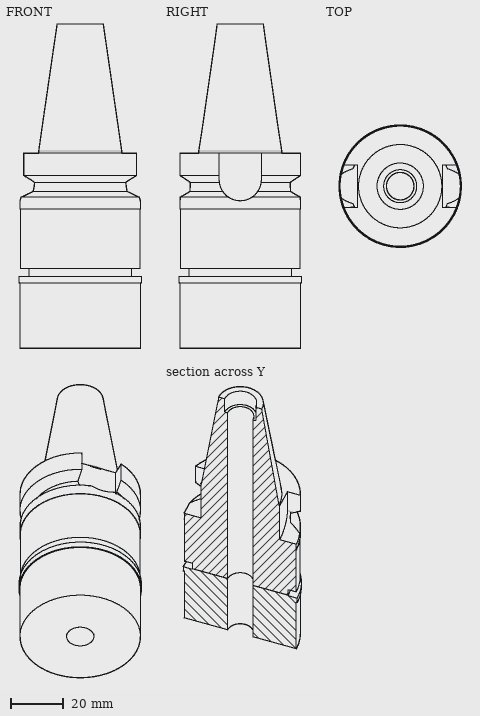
import cadquery as cq

total_height = 123.4

nut_height = 27.4
nut_collar_bottom = 24.9
nut_radius = 23.0
nut_collar_radius = 23.3

groove_top = 30.4
groove_radius = 39.1 / 2
body_top = 53.1
body_radius = 22.8
flange_radius = 23.0
lower_flange_top = 57.5
neck_bottom = 59.7
neck_top = 63.2
neck_radius = 19.1
upper_flange_bottom = 65.8
upper_flange_top = 74.3

taper_bottom = 75.0
taper_large_radius = 31.7 / 2
taper_small_radius = 17.6 / 2

through_radius = 5.2
counterbore_radius = 6.3
counterbore_depth = 7.2

slot_width = 16.0
slot_bottom = 56.1
slot_flat_distance = 16.2


def revolve_profile(points):
    """Turn a closed (radius, height) outline about the Z axis."""
    return cq.Workplane("XZ").polyline(points).close().revolve(360, (0, 0, 0), (0, 1, 0))


def make_drive_slot(side):
    """Cutter for a slot open at the top with a full-round bottom; side is +1 or -1 along X."""
    half_width = slot_width / 2
    arc_center = slot_bottom + half_width
    cut_depth = nut_collar_radius - slot_flat_distance
    return (
        cq.Workplane("YZ", origin=(side * slot_flat_distance, 0, 0))
        .moveTo(-half_width, upper_flange_top)
        .lineTo(-half_width, arc_center)
        .threePointArc((0, slot_bottom), (half_width, arc_center))
        .lineTo(half_width, upper_flange_top)
        .close()
        .extrude(side * cut_depth)
    )


def make_holder():
    """Shank, V-grooved flange and body, with a stepped bore and two drive slots."""
    counterbore_floor = total_height - counterbore_depth
    holder = revolve_profile([
        (through_radius, nut_height),
        (groove_radius, nut_height),
        (groove_radius, groove_top),
        (body_radius, groove_top),
        (body_radius, body_top),
        (flange_radius, body_top),
        (flange_radius, lower_flange_top),
        (neck_radius, neck_bottom),
        (neck_radius, neck_top),
        (flange_radius, upper_flange_bottom),
        (flange_radius, upper_flange_top),
        (taper_large_radius, upper_flange_top),
        (taper_large_radius, taper_bottom),
        (taper_small_radius, total_height),
        (counterbore_radius, total_height),
        (counterbore_radius, counterbore_floor),
        (through_radius, counterbore_floor),
    ])
    for side in (-1, 1):
        holder = holder.cut(make_drive_slot(side))
    return holder


def make_nut():
    """Plain cylindrical nut with a thin collar at its top, seated against the holder."""
    return revolve_profile([
        (through_radius, 0),
        (nut_radius, 0),
        (nut_radius, nut_collar_bottom),
        (nut_collar_radius, nut_collar_bottom),
        (nut_collar_radius, nut_height),
        (through_radius, nut_height),
    ])


holder = make_holder()
nut = make_nut()
result = cq.Compound.makeCompound([holder.val(), nut.val()])